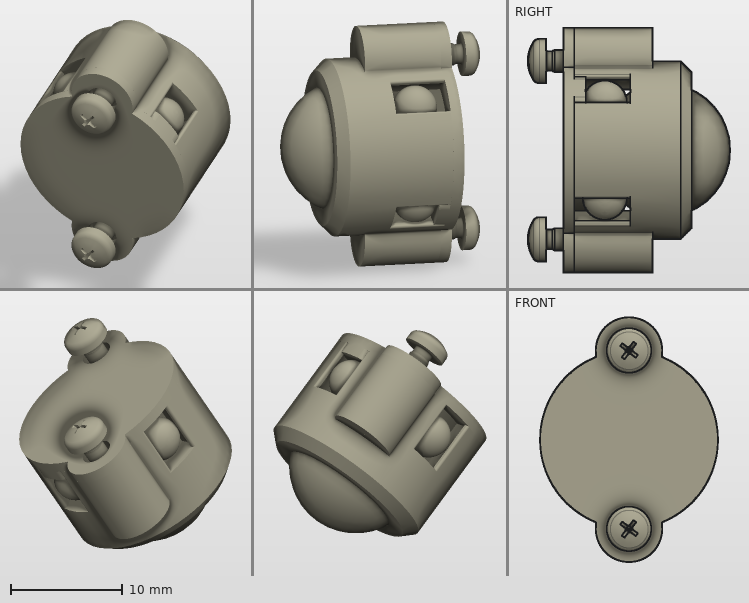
import cadquery as cq
import math


body_radius = 16.0 / 2
ear_radius = 3.0
ear_offset = 11 - ear_radius
plate_thickness = 1.0
ear_top = 8.0
body_top = 11.5
rim_chamfer = 1.0
edge_fillet = 0.2

ball_radius = 12.0 / 2
ball_height = 9.0

bearing_radius = 2.0
bearing_ring_radius = 6.0
bearing_angles = [45, 135, 225, 315]
bearing_reach = ball_radius + bearing_radius
bearing_height = ball_height - math.sqrt(bearing_reach**2 - bearing_ring_radius**2)
pocket_radius = 2.1
window_width = 3.2
window_top = 6.0

plug_top = 2.0
pad_width = 4.0
pad_corner_radius = 1.0
pad_angles = [45, 225]

shank_radius = 2.0 / 2
neck_radius = 1.78 / 2
plate_hole_radius = 2.8 / 2
shank_end = 0.8
neck_start = 1.0
head_start = 1.56
neck_fillet = 0.1
head_radius = 2.0
head_height = 1.65
head_rim_height = 0.62
crown_radius = 1.7
crown_start = 1.15
cross_length = 1.98
cross_width = 0.3
cross_depth = 0.8
cross_floor_length = 0.45
cross_center_radius = 0.35
cross_center_depth = 1.0
cross_turn = 53

tolerance = 0.002


def cylinder(radius, low, high, x=0, z=0):
    """Cylinder along Y between two heights."""
    solid = cq.Solid.makeCylinder(radius, high - low, cq.Vector(x, low, z), cq.Vector(0, 1, 0))
    return cq.Workplane(obj=solid)


def block(length, low, high, width):
    """Block that runs from the caster axis along +X."""
    return cq.Workplane().box(length, high - low, width, centered=(False, False, True)).translate((0, low, 0))


def turned(shape, angle):
    """Turn a shape about the Y axis, from +X toward +Z."""
    return shape.rotate((0, 0, 0), (0, 1, 0), -angle)


def sphere(radius, x, y, z):
    return cq.Workplane().sphere(radius).translate((x, y, z))


def polar(radius, angle):
    """X and Z of a point at an angle from +X toward +Z."""
    return radius * math.cos(math.radians(angle)), radius * math.sin(math.radians(angle))


def outer_edges(shape):
    """Edges along Y that lie on the outer cylinder of the body."""
    def is_outer(edge):
        return abs(math.hypot(edge.Center().x, edge.Center().z) - body_radius) < tolerance

    return shape.edges("|Y").filter(is_outer)


def off_axis(edge):
    """True away from the X and Z axes, where the cylinder's own seam lies."""
    return min(abs(edge.Center().x), abs(edge.Center().z)) > tolerance


def make_ball():
    return sphere(ball_radius, 0, ball_height, 0)


def make_bearing_ball(angle):
    x, z = polar(bearing_ring_radius, angle)
    return sphere(bearing_radius, x, bearing_height, z)


def make_pad(angle):
    """Block that reaches out through a window, with its outer corners rounded."""
    outside = cylinder(body_radius, plate_thickness, plug_top)
    pad = block(2 * body_radius, plate_thickness, plug_top, pad_width).intersect(outside)
    pad = outer_edges(pad).filter(off_axis).fillet(pad_corner_radius)
    return turned(pad, angle)


def make_plate():
    plate = cylinder(body_radius, 0, plate_thickness)
    for z in (-ear_offset, ear_offset):
        plate = plate.union(cylinder(ear_radius, 0, plate_thickness, z=z))
    for z in (-ear_offset, ear_offset):
        plate = plate.cut(cylinder(plate_hole_radius, 0, plate_thickness, z=z))

    plate = plate.union(cylinder(ball_radius, plate_thickness, plug_top))
    for angle in pad_angles:
        plate = plate.union(make_pad(angle))

    for angle in bearing_angles:
        plate = plate.cut(make_bearing_ball(angle))
    return plate


def make_housing():
    housing = cylinder(body_radius, plate_thickness, body_top).faces(">Y").chamfer(rim_chamfer)

    for angle in bearing_angles:
        window = block(2 * body_radius, plate_thickness, window_top, window_width)
        housing = housing.cut(turned(window, angle))
    housing = outer_edges(housing).filter(off_axis).fillet(edge_fillet)

    for z in (-ear_offset, ear_offset):
        housing = housing.union(cylinder(ear_radius, plate_thickness, ear_top, z=z))
    corner_z = (body_radius**2 + ear_offset**2 - ear_radius**2) / (2 * ear_offset)
    ear_corners = outer_edges(housing).filter(lambda edge: abs(abs(edge.Center().z) - corner_z) < tolerance)
    housing = ear_corners.fillet(edge_fillet)

    housing = housing.cut(cylinder(ball_radius, plate_thickness, ball_height)).cut(make_ball())

    for angle in bearing_angles:
        x, z = polar(bearing_ring_radius, angle)
        housing = housing.cut(cylinder(pocket_radius, plate_thickness, window_top, x, z))

    for angle in pad_angles:
        housing = housing.cut(make_pad(angle))

    for z in (-ear_offset, ear_offset):
        housing = housing.cut(cylinder(shank_radius, plate_thickness, ear_top, z=z))
    return housing


def make_cross_recess(head_top):
    """Two crossed arms whose ends slope down to a short flat floor, around a conical center."""
    floor = head_top + cross_depth
    arm = (
        cq.Workplane()
        .moveTo(-cross_length / 2, head_top)
        .lineTo(cross_length / 2, head_top)
        .lineTo(cross_floor_length / 2, floor)
        .lineTo(-cross_floor_length / 2, floor)
        .close()
        .extrude(cross_width / 2, both=True)
    )
    center = cq.Workplane(
        obj=cq.Solid.makeCone(
            cross_center_radius, 0, cross_center_depth, cq.Vector(0, head_top, 0), cq.Vector(0, 1, 0)
        )
    )
    return turned(arm, cross_turn).union(turned(arm, cross_turn + 90)).union(center)


def make_screw(z):
    """Screw with a pan head, revolved from a half profile about Y."""
    underside = -head_start
    head_top = underside - head_height
    crown_rise = head_height - crown_start
    dome_radius = (crown_radius**2 + crown_rise**2) / (2 * crown_rise)
    middle = crown_radius / 2
    middle_drop = dome_radius - math.sqrt(dome_radius**2 - middle**2)

    screw = (
        cq.Workplane()
        .moveTo(0, ear_top)
        .lineTo(shank_radius, ear_top)
        .lineTo(shank_radius, -shank_end)
        .lineTo(neck_radius, -neck_start)
        .lineTo(neck_radius, underside + neck_fillet)
        .tangentArcPoint((neck_radius + neck_fillet, underside), relative=False)
        .lineTo(head_radius, underside)
        .lineTo(head_radius, underside - head_rim_height)
        .tangentArcPoint((crown_radius, underside - crown_start), relative=False)
        .threePointArc((middle, head_top + middle_drop), (0, head_top))
        .close()
        .revolve(360, (0, 0, 0), (0, 1, 0))
    )
    return screw.cut(make_cross_recess(head_top)).translate((0, 0, z))


housing = make_housing()
plate = make_plate()
ball = make_ball()
bearing_balls = [make_bearing_ball(angle) for angle in bearing_angles]
screws = [make_screw(z) for z in (-ear_offset, ear_offset)]

result = cq.Compound.makeCompound(
    [
        housing.val(),
        plate.val(),
        ball.val(),
        *[bearing_ball.val() for bearing_ball in bearing_balls],
        *[screw.val() for screw in screws],
    ]
)